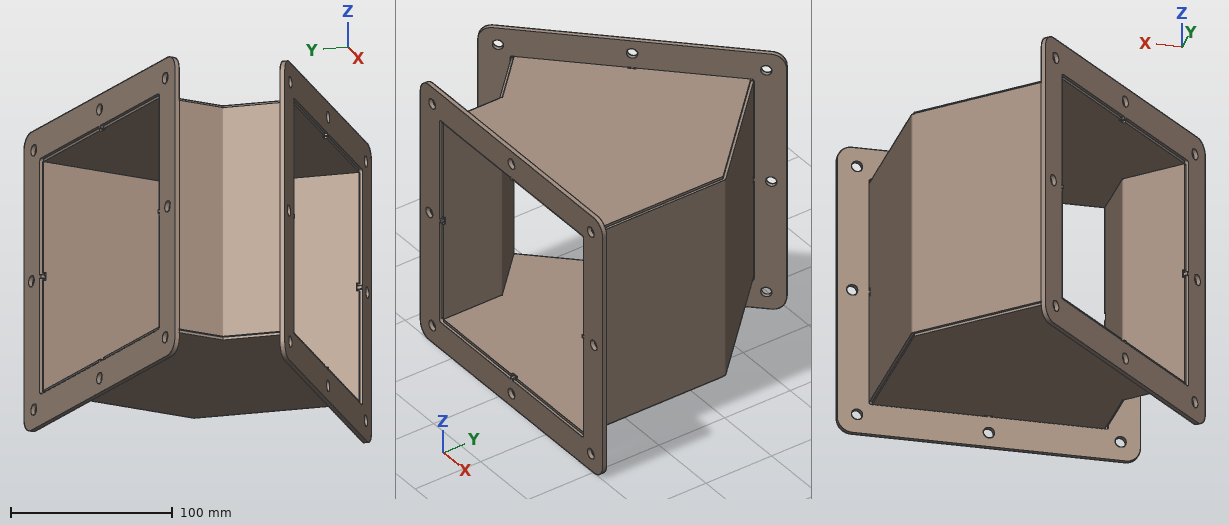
import cadquery as cq
import math


OVERALL_LENGTH = 219.9
BEND_ANGLE = 45.0
BEND_COS = math.cos(math.radians(BEND_ANGLE))
BEND_SIN = math.sin(math.radians(BEND_ANGLE))
MITRE_TANGENT = math.tan(math.radians(BEND_ANGLE / 2))

FLANGE_SIZE = 193.7
FLANGE_THICKNESS = 3.0
FLANGE_CORNER_RADIUS = 9.5
HOLE_DIAMETER = 7.0
CORNER_HOLE_OFFSET = 84.2
SIDE_HOLE_OFFSET = 87.3

SHEET_THICKNESS = 1.8
BEND_INNER_RADIUS = 1.0
BEND_OUTER_RADIUS = BEND_INNER_RADIUS + SHEET_THICKNESS
DUCT_INNER_HALF = 74.3
DUCT_OUTER_HALF = DUCT_INNER_HALF + SHEET_THICKNESS

OPENING_CLEARANCE = 0.5
OPENING_HALF = DUCT_OUTER_HALF + OPENING_CLEARANCE
OPENING_CORNER_RADIUS = 1.5
TAB_WIDTH = 2.2
TAB_LENGTH = 1.3

HALF_FLANGE = FLANGE_SIZE / 2
LEG_LENGTH = (OVERALL_LENGTH - HALF_FLANGE - HALF_FLANGE * BEND_COS) / BEND_SIN
SHEET_SETBACK = FLANGE_THICKNESS / 2

NOTCH_WIDTH = 4.8
NOTCH_CUTTER_HEIGHT = 4 * SHEET_THICKNESS

SIDES = (-1, 1)


def turned_leg_point(across, along):
    """XY point on the turned leg: across the duct, and along its axis from the bend."""
    x = across * BEND_COS - along * BEND_SIN
    y = LEG_LENGTH + across * BEND_SIN + along * BEND_COS
    return (x, y)


def at_second_end(body):
    """Copy of a body made at the first end of the duct, moved to the second end."""
    end_x, end_y = turned_leg_point(0, LEG_LENGTH)
    mirrored = body.mirror("XZ")
    return mirrored.rotate((0, 0, 0), (0, 0, 1), BEND_ANGLE).translate((end_x, end_y, 0))


def bend_line(across):
    """Points of a line that follows the duct axis at a fixed distance from it."""
    return [
        (across, SHEET_SETBACK),
        (across, LEG_LENGTH + across * MITRE_TANGENT),
        turned_leg_point(across, LEG_LENGTH - SHEET_SETBACK),
    ]


def elbow_prism(first_across, second_across, bottom, height):
    """Solid between two lines along the duct, extruded up from the height bottom."""
    outline = bend_line(first_across) + bend_line(second_across)[::-1]
    return cq.Workplane("XY", origin=(0, 0, bottom)).polyline(outline).close().extrude(height)


def flange_slab(width, height):
    """Rectangular slab as thick as the flange, with its outer face at Y = 0."""
    return cq.Workplane("XZ").rect(width, height).extrude(-FLANGE_THICKNESS)


def make_opening():
    """Cutter for the flange opening, leaving the four locating tabs."""
    opening = flange_slab(2 * OPENING_HALF, 2 * OPENING_HALF)
    opening = opening.edges("|Y").fillet(OPENING_CORNER_RADIUS)
    tab_centre = OPENING_HALF - TAB_LENGTH / 2
    for side in SIDES:
        opening = opening.cut(flange_slab(TAB_WIDTH, TAB_LENGTH).translate((0, 0, side * tab_centre)))
        opening = opening.cut(flange_slab(TAB_LENGTH, TAB_WIDTH).translate((side * tab_centre, 0, 0)))
    return opening


def make_bolt_holes():
    """Cutter for the holes in the four corners and the middles of the four sides."""
    corners = [(x * CORNER_HOLE_OFFSET, z * CORNER_HOLE_OFFSET) for x in SIDES for z in SIDES]
    side_middles = [(x * SIDE_HOLE_OFFSET, 0) for x in SIDES] + [(0, z * SIDE_HOLE_OFFSET) for z in SIDES]
    points = corners + side_middles
    return cq.Workplane("XZ").pushPoints(points).circle(HOLE_DIAMETER / 2).extrude(-FLANGE_THICKNESS)


def make_flange():
    """Flange at the first end of the duct."""
    plate = flange_slab(FLANGE_SIZE, FLANGE_SIZE).edges("|Y").fillet(FLANGE_CORNER_RADIUS)
    return plate.cut(make_opening()).cut(make_bolt_holes())


def cut_end_notches(sheet, notch):
    """Cut a notch into a sheet at both ends of the duct."""
    return sheet.cut(notch).cut(at_second_end(notch))


def make_cheek(side):
    """Flat bottom (side -1) or top (side +1) sheet, between the inner faces of the walls."""
    bottom = side * DUCT_INNER_HALF
    cheek = elbow_prism(-DUCT_INNER_HALF, DUCT_INNER_HALF, bottom, side * SHEET_THICKNESS)
    notch = flange_slab(NOTCH_WIDTH, NOTCH_CUTTER_HEIGHT).translate((0, 0, side * DUCT_OUTER_HALF))
    return cut_end_notches(cheek, notch)


def round_bend(wall, side):
    """Round the bend of a wall; its hollow face is the one on the -X side."""
    face_distances = (side * DUCT_INNER_HALF, side * DUCT_OUTER_HALF)
    radii = {min(face_distances): BEND_INNER_RADIUS, max(face_distances): BEND_OUTER_RADIUS}
    for across, radius in radii.items():
        bend_x, bend_y = bend_line(across)[1]
        wall = wall.edges(cq.selectors.NearestToPointSelector((bend_x, bend_y, 0))).fillet(radius)
    return wall


def make_wall(side):
    """Bent sheet on the inside (side -1) or outside (side +1) of the bend, touching the cheeks' edges."""
    wall = elbow_prism(side * DUCT_INNER_HALF, side * DUCT_OUTER_HALF, -DUCT_INNER_HALF, 2 * DUCT_INNER_HALF)
    wall = round_bend(wall, side)
    notch = flange_slab(NOTCH_CUTTER_HEIGHT, NOTCH_WIDTH).translate((side * DUCT_OUTER_HALF, 0, 0))
    return cut_end_notches(wall, notch)


first_flange = make_flange()
flanges = [first_flange, at_second_end(first_flange)]
cheeks = [make_cheek(side) for side in SIDES]
walls = [make_wall(side) for side in SIDES]

result = cq.Compound.makeCompound([body.val() for body in flanges + cheeks + walls])